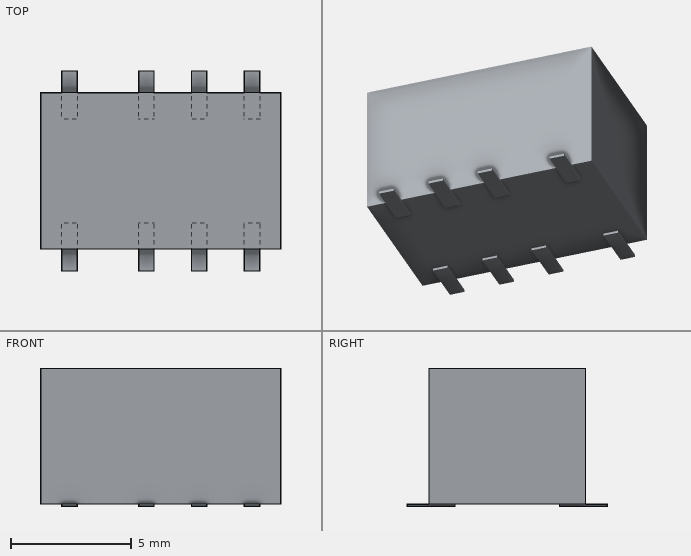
import cadquery as cq

body_length = 10.0
body_width = 6.52
body_height = 5.65
overall_width = 8.34

lead_length = 2.0
lead_width = 0.65
lead_thickness = 0.1
end_lead_x = 3.8
lead_pitch = 2.2
lead_positions_x = [
    -end_lead_x,
    end_lead_x - 2 * lead_pitch,
    end_lead_x - lead_pitch,
    end_lead_x,
]


def make_body():
    """Plain block resting on the top faces of the leads."""
    block = cq.Workplane("XY").box(body_length, body_width, body_height, centered=(True, True, False))
    return block.translate((0, 0, lead_thickness))


def make_lead(x, side):
    """Flat strip centred on x, reaching the outer width on the -Y (-1) or +Y (+1) side."""
    strip = cq.Workplane("XY").box(lead_width, lead_length, lead_thickness, centered=(True, True, False))
    return strip.translate((x, side * (overall_width - lead_length) / 2, 0))


body = make_body()

leads = []
for side in (-1, 1):
    for x in lead_positions_x:
        leads.append(make_lead(x, side).val())

result = cq.Compound.makeCompound([body.val(), *leads])